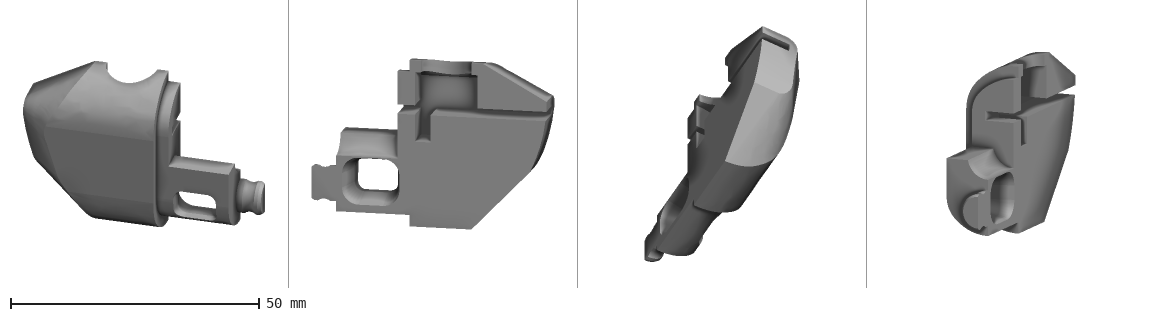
import cadquery as cq
import math

body_end = 28.25
body_height = 34.4
body_depth = 11.5
joint_overlap = 0.5
round_height = 10.0

neck_inset = 2.35
neck_end = 30.75
neck_bottom = neck_inset
neck_height = body_height - 2 * neck_inset
neck_depth = body_depth - neck_inset
neck_round = round_height - neck_inset

tongue_end = 43.3
tongue_top = 17.6
trough_radius = 4.5
trough_floor = 13.95

window_left, window_right = 31.75, 40.65
window_bottom, window_top = 5.4, 12.25
window_radius = 1.95
window_flare = 1.45
flare_depth = 5.5

part_length = 48.4
pin_height = 8.15
pin_radius = 3.7
groove_start, groove_end = 44.55, 47.05
groove_depth = 0.45
pin_chamfer_start = 47.75
pin_end_radius = 3.25

nose_top = 27.25
nose_radius = 33.3
nose_bottom_drop = 16.95
taper_front_top = (-1.3, 26.5)
taper_front_bottom = (2.27, 13.7)
taper_front_top_depth = 7.45
taper_front_bottom_depth = 8.0
taper_front_round = 1.95
taper_rear_top = (12.95, 34.4)
taper_rear_bottom = (15.5, 0.0)
taper_rear_top_depth = 22.25
taper_rear_bottom_depth = 11.85
taper_rear_round = 15.0
corner_tolerance = 0.05

notch_x = 20.65
notch_radius = 5.25
cavity_end = 27.1
cavity_start = 2 * notch_x - cavity_end
cavity_step = 23.9
strap_bottom, strap_top = 23.25, 25.15
strap_depth = 6.25


def half_oval(x_start, x_end, bottom, height, depth, round_height):
    """Bar along X with quarter-ellipse corners and a flat back on Y = 0."""
    top = bottom + height
    profile = (
        cq.Workplane("YZ", origin=(x_start, 0, 0))
        .moveTo(0, bottom)
        .lineTo(0, top)
    )
    diagonal = math.sqrt(0.5)
    arc_y = -depth * diagonal
    arc_inset = round_height * (1 - diagonal)
    profile = profile.spline(
        [(arc_y, top - arc_inset), (-depth, top - round_height)],
        tangents=[(-1, 0), (0, -1)], includeCurrent=True,
    )
    profile = profile.lineTo(-depth, bottom + round_height)
    profile = profile.spline(
        [(arc_y, bottom + arc_inset), (0, bottom)],
        tangents=[(0, -1), (1, 0)], includeCurrent=True,
    )
    return profile.close().extrude(x_end - x_start)


def box(x_range, depth, z_range):
    """Block from the split plane to the given depth."""
    return cq.Workplane("XY").box(
        x_range[1] - x_range[0], depth, z_range[1] - z_range[0], centered=False
    ).translate((x_range[0], -depth, z_range[0]))


def taper_section(top, bottom, top_depth, bottom_depth, corner):
    """Rounded section on the tilted plane through two points of the split plane."""
    rise_x = top[0] - bottom[0]
    rise_z = top[1] - bottom[1]
    length = math.hypot(rise_x, rise_z)
    plane = cq.Plane(origin=(bottom[0], 0, bottom[1]), xDir=(0, -1, 0), normal=(-rise_z, 0, rise_x))
    outline = (
        cq.Workplane(plane)
        .polyline([(0, 0), (bottom_depth, 0), (top_depth, length), (0, length)])
        .close()
        .val()
    )
    outer_corners = [v for v in outline.Vertices() if v.Y < -corner_tolerance]
    return outline.fillet2D(corner, outer_corners)


def make_body():
    """Oval body with a tapered front that ends in a curved nose face."""
    blank = half_oval(0, body_end, 0, body_height, body_depth, round_height)
    front = taper_section(
        taper_front_top, taper_front_bottom,
        taper_front_top_depth, taper_front_bottom_depth, taper_front_round,
    )
    rear = taper_section(
        taper_rear_top, taper_rear_bottom,
        taper_rear_top_depth, taper_rear_bottom_depth, taper_rear_round,
    )
    taper = cq.Workplane(cq.Solid.makeLoft([front, rear], True))
    rear_space = (
        cq.Workplane("XZ")
        .polyline([taper_rear_top, (body_end, body_height), (body_end, 0), taper_rear_bottom])
        .close()
        .extrude(body_depth)
    )
    low_x = nose_radius - math.sqrt(nose_radius**2 - nose_bottom_drop**2)
    mid_drop = nose_bottom_drop / 2
    mid_x = nose_radius - math.sqrt(nose_radius**2 - mid_drop**2)
    nose_space = (
        cq.Workplane("XZ")
        .moveTo(0, nose_top)
        .threePointArc((mid_x, nose_top - mid_drop), (low_x, nose_top - nose_bottom_drop))
        .lineTo(low_x, 0)
        .lineTo(body_end, 0)
        .lineTo(body_end, body_height)
        .lineTo(0, body_height)
        .close()
        .extrude(body_depth)
    )
    front_part = blank.intersect(taper).intersect(nose_space)
    return front_part.union(blank.intersect(rear_space))


def make_neck_and_tongue():
    bar = half_oval(body_end - joint_overlap, tongue_end, neck_bottom, neck_height, neck_depth, neck_round)
    bar = bar.cut(box((neck_end, tongue_end), neck_depth, (tongue_top, body_height)))
    trough = (
        cq.Workplane("YZ", origin=(neck_end, 0, trough_floor + trough_radius))
        .circle(trough_radius)
        .extrude(tongue_end - neck_end)
    )
    return bar.cut(trough)


def window_sketch(growth):
    """Rounded rectangle of the window, enlarged on every side by the growth."""
    width = window_right - window_left + 2 * growth
    height = window_top - window_bottom + 2 * growth
    return cq.Sketch().rect(width, height).vertices().fillet(window_radius + growth)


def make_window():
    center = ((window_left + window_right) / 2, 0, (window_bottom + window_top) / 2)
    base = cq.Workplane("XZ", origin=center)
    straight = base.placeSketch(window_sketch(0)).extrude(neck_depth)
    mouth = window_sketch(window_flare)
    throat = window_sketch(0).moved(cq.Location(cq.Vector(0, 0, flare_depth)))
    flare = base.placeSketch(mouth, throat).loft()
    return straight.union(flare)


def make_pin():
    groove_middle = (groove_start + groove_end) / 2
    return (
        cq.Workplane("XY", origin=(0, 0, pin_height))
        .moveTo(tongue_end - joint_overlap, 0)
        .lineTo(tongue_end - joint_overlap, -pin_radius)
        .lineTo(groove_start, -pin_radius)
        .threePointArc((groove_middle, groove_depth - pin_radius), (groove_end, -pin_radius))
        .lineTo(pin_chamfer_start, -pin_radius)
        .lineTo(part_length, -pin_end_radius)
        .lineTo(part_length, 0)
        .close()
        .revolve(360, (0, 0, 0), (1, 0, 0))
        .intersect(box((tongue_end - joint_overlap, part_length), pin_radius, (0, body_height)))
    )


def make_cavity():
    """Strap slot, the chamber above it and the round notch in the top."""
    chamber = half_oval(cavity_start, cavity_end, neck_bottom, neck_height, neck_depth, neck_round)
    chamber = chamber.intersect(box((cavity_start, cavity_end), strap_depth, (strap_bottom, body_height)))
    step = box((cavity_step, cavity_end), strap_depth, (tongue_top, strap_top))
    strap_slot = box((0, neck_end), strap_depth, (strap_bottom, strap_top))
    notch = (
        cq.Workplane("XY", origin=(notch_x, 0, strap_top))
        .circle(notch_radius)
        .extrude(body_height - strap_top)
    )
    return chamber.union(step).union(strap_slot).union(notch)


result = (
    make_body()
    .union(make_neck_and_tongue())
    .cut(make_window())
    .union(make_pin())
    .cut(make_cavity())
)